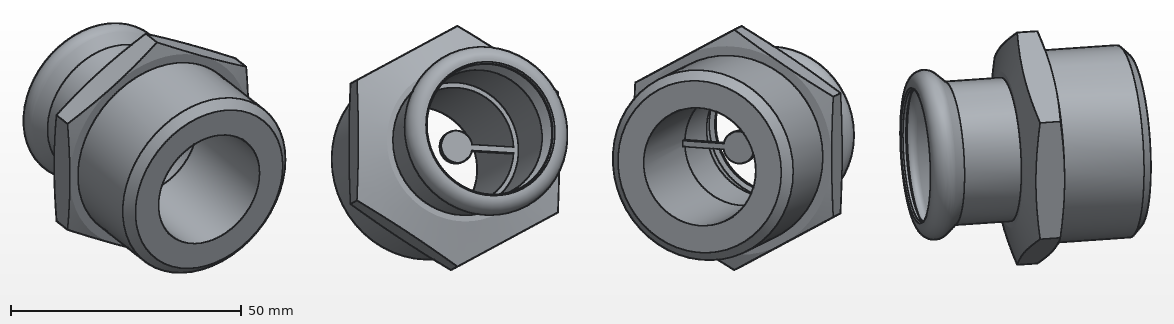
import cadquery as cq
import math


total_length = 48.1
hex_start = 20.0
hex_end = 28.0
socket_depth = 23.0

tube_outer_radius = 31.3 / 2
tube_inner_radius = 28.2 / 2
bead_outer_radius = 37.0 / 2
bead_section_radius = 3.0
bead_cone_angle = math.radians(41)
lip_inner_radius = 28.8 / 2
lip_chamfer = 0.35
lip_length = 1.0

hex_across_flats = 46.0
hex_chamfer_angle = math.radians(15)
hex_front_face_radius = 17.0
hex_back_face_radius = hex_across_flats / 2
hex_envelope_margin = 1.0

thread_radius = 41.91 / 2
thread_chamfer = 2.0
bore_radius = 26.0 / 2

disc_radius = 3.55
arm_width = 1.3
disc_thickness = 1.3

wall = tube_outer_radius - tube_inner_radius
bead_center_radius = bead_outer_radius - bead_section_radius
groove_section_radius = bead_section_radius - wall


def bead_point(section_radius, angle):
    """Point (x, radius) on a bead arc; the angle is measured from the crest towards +X."""
    return (
        bead_section_radius + section_radius * math.sin(angle),
        bead_center_radius + section_radius * math.cos(angle),
    )


def cone_end(start, end_radius):
    """Point where the bead cone running from start reaches end_radius."""
    x, radius = start
    return (x + (radius - end_radius) / math.tan(bead_cone_angle), end_radius)


def revolve_about_x(profile):
    return profile.close().revolve(360, (0, 0, 0), (1, 0, 0))


def make_outer_body():
    """Solid of the beaded tube and the spigot, without the hexagon and the bores."""
    tangent = bead_point(bead_section_radius, bead_cone_angle)
    profile = (
        cq.Workplane("XY")
        .moveTo(0, 0)
        .lineTo(0, bead_center_radius)
        .threePointArc(bead_point(bead_section_radius, -math.pi / 4), tangent)
        .lineTo(*cone_end(tangent, tube_outer_radius))
        .lineTo(hex_end, tube_outer_radius)
        .lineTo(hex_end, thread_radius)
        .lineTo(total_length - thread_chamfer, thread_radius)
        .lineTo(total_length, thread_radius - thread_chamfer)
        .lineTo(total_length, 0)
    )
    return revolve_about_x(profile)


def make_hexagon():
    """Hexagon with corners on +Z and -Z, both faces chamfered by cones."""
    corner_radius = hex_across_flats / math.sqrt(3)
    prism = (
        cq.Workplane("YZ", origin=(hex_start, 0, 0))
        .polygon(6, 2 * corner_radius)
        .extrude(hex_end - hex_start)
        .rotate((0, 0, 0), (1, 0, 0), 90)
    )
    rim_radius = corner_radius + hex_envelope_margin
    slope = math.tan(hex_chamfer_angle)
    envelope = (
        cq.Workplane("XY")
        .moveTo(hex_start, 0)
        .lineTo(hex_start, hex_front_face_radius)
        .lineTo(hex_start + (rim_radius - hex_front_face_radius) * slope, rim_radius)
        .lineTo(hex_end - (rim_radius - hex_back_face_radius) * slope, rim_radius)
        .lineTo(hex_end, hex_back_face_radius)
        .lineTo(hex_end, 0)
    )
    return prism.intersect(revolve_about_x(envelope))


def make_cavity():
    """Socket with chamfered lip and seal groove, followed by the through bore."""
    groove_tangent = bead_point(groove_section_radius, bead_cone_angle)
    groove_start = bead_point(groove_section_radius, -math.pi / 2)
    profile = (
        cq.Workplane("XY")
        .moveTo(0, 0)
        .lineTo(0, lip_inner_radius + lip_chamfer)
        .lineTo(lip_chamfer, lip_inner_radius)
        .lineTo(lip_length, lip_inner_radius)
        .lineTo(*groove_start)
        .threePointArc(bead_point(groove_section_radius, 0), groove_tangent)
        .lineTo(*cone_end(groove_tangent, tube_inner_radius))
        .lineTo(socket_depth, tube_inner_radius)
        .lineTo(socket_depth, bore_radius)
        .lineTo(total_length, bore_radius)
        .lineTo(total_length, 0)
    )
    return revolve_about_x(profile)


def make_disc_and_arm():
    """Disc on the axis, flush with the socket stop, with an arm to the -Y side of the bore wall."""
    plane = cq.Workplane("YZ", origin=(socket_depth, 0, 0))
    disc = plane.circle(disc_radius).extrude(disc_thickness)
    arm_length = (bore_radius + tube_inner_radius) / 2
    arm = plane.center(-arm_length / 2, 0).rect(arm_length, arm_width).extrude(disc_thickness)
    return disc.union(arm)


result = make_outer_body().union(make_hexagon()).cut(make_cavity()).union(make_disc_and_arm())